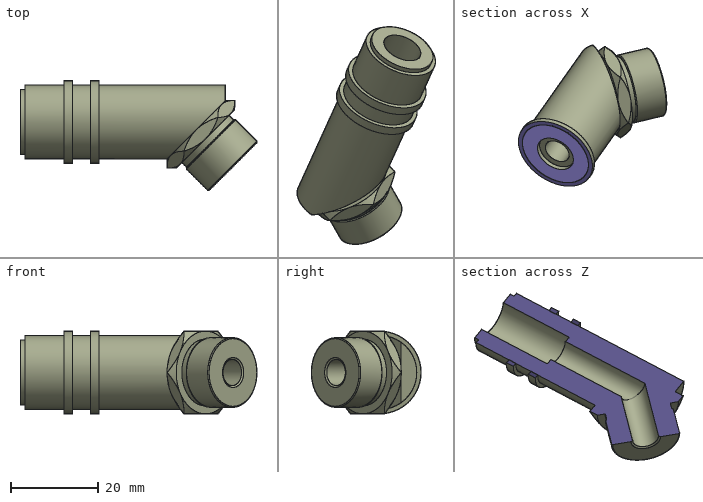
import cadquery as cq
import math

overall_length = 54.25
bend_angle = 45.0

tube_diameter = 17.0
tube_end_x = 47.0
nose_diameter = 15.0
nose_length = 1.05

ring_diameter = 19.0
ring_width = 2.0
first_ring_x = 10.0
ring_pitch = 6.0
ring_count = 2

hex_sides = 6
hex_across_flats = 19.0
hex_thickness = 3.0
hex_chamfer_angle = 45.0
hex_setback = 2.5

spigot_diameter = 16.0
spigot_length = 11.95
spigot_chamfer = 0.245
neck_diameter = 15.35
neck_length = 1.5

bore_diameter = 6.0
bore_mouth_diameter = 6.9
bore_mouth_depth = 0.25
socket_diameter = 9.0
socket_depth = 18.0

tube_radius = tube_diameter / 2
spigot_radius = spigot_diameter / 2
tip_distance = hex_setback + spigot_length
cos_bend = math.cos(math.radians(bend_angle))
sin_bend = math.sin(math.radians(bend_angle))
rim_reach = (tip_distance - spigot_chamfer) * cos_bend + spigot_radius * sin_bend
bend_x = overall_length - rim_reach
spigot_direction = cq.Vector(cos_bend, -sin_bend, 0)
bend_point = cq.Vector(bend_x, 0, 0)


def tube_plane(x):
    """Plane across the tube axis at the given x."""
    return cq.Workplane(cq.Plane((x, 0, 0), xDir=(0, 1, 0), normal=(1, 0, 0)))


def spigot_plane(distance):
    """Plane across the spigot axis, at a distance from the bend; local Y is Z."""
    return cq.Workplane(cq.Plane(
        bend_point + spigot_direction * distance,
        xDir=(sin_bend, cos_bend, 0),
        normal=spigot_direction,
    ))


def make_tube():
    """Stepped tube, trimmed at an angle by the back face of the hexagon."""
    nose = tube_plane(0).circle(nose_diameter / 2).extrude(nose_length)
    barrel = tube_plane(nose_length).circle(tube_radius).extrude(tube_end_x - nose_length)
    beyond_hex_face = (
        spigot_plane(hex_setback)
        .rect(overall_length, overall_length)
        .extrude(overall_length)
    )
    return nose.union(barrel).cut(beyond_hex_face)


def make_hexagon():
    """Hexagon with flats facing +Z and -Z, its corners chamfered at 45 degrees from both faces."""
    across_corners = hex_across_flats / math.cos(math.pi / hex_sides)
    prism = spigot_plane(hex_setback).polygon(hex_sides, across_corners).extrude(hex_thickness)
    half_thickness = hex_thickness / 2
    middle_diameter = hex_across_flats + hex_thickness * math.tan(math.radians(hex_chamfer_angle))
    double_cone = (
        spigot_plane(hex_setback + half_thickness)
        .circle(middle_diameter / 2)
        .extrude(half_thickness, both=True, taper=hex_chamfer_angle)
    )
    return prism.intersect(double_cone)


def make_spigot():
    """Neck and larger spigot in front of the hexagon, with both spigot rims chamfered."""
    neck_start = hex_setback + hex_thickness
    spigot_start = neck_start + neck_length
    neck = spigot_plane(neck_start).circle(neck_diameter / 2).extrude(neck_length)
    spigot = (
        spigot_plane(spigot_start)
        .circle(spigot_radius)
        .extrude(tip_distance - spigot_start)
        .edges("%CIRCLE")
        .chamfer(spigot_chamfer)
    )
    return neck.union(spigot)


def make_bore():
    """Mitred bore through both legs, with a socket at the nose and a chamfered mouth at the tip."""
    tip = bend_point + spigot_direction * tip_distance
    path = cq.Workplane("XY").polyline([(0, 0), (bend_x, 0), (tip.x, tip.y)])
    passage = tube_plane(0).circle(bore_diameter / 2).sweep(path, transition="right")
    socket = tube_plane(0).circle(socket_diameter / 2).extrude(socket_depth)
    mouth_taper = math.degrees(math.atan2((bore_mouth_diameter - bore_diameter) / 2, bore_mouth_depth))
    mouth = (
        spigot_plane(tip_distance)
        .circle(bore_mouth_diameter / 2)
        .extrude(-bore_mouth_depth, taper=mouth_taper)
    )
    return passage.union(socket).union(mouth)


def make_elbow():
    """Elbow housing: tube, hexagon and spigot in one piece, bored through."""
    return make_tube().union(make_hexagon()).union(make_spigot()).cut(make_bore())


def make_ring(x):
    """Sealing ring seated on the tube, starting at the given x."""
    return tube_plane(x).circle(ring_diameter / 2).circle(tube_radius).extrude(ring_width)


elbow = make_elbow()
rings = [make_ring(first_ring_x + i * ring_pitch) for i in range(ring_count)]

result = cq.Compound.makeCompound([elbow.val(), *[ring.val() for ring in rings]])